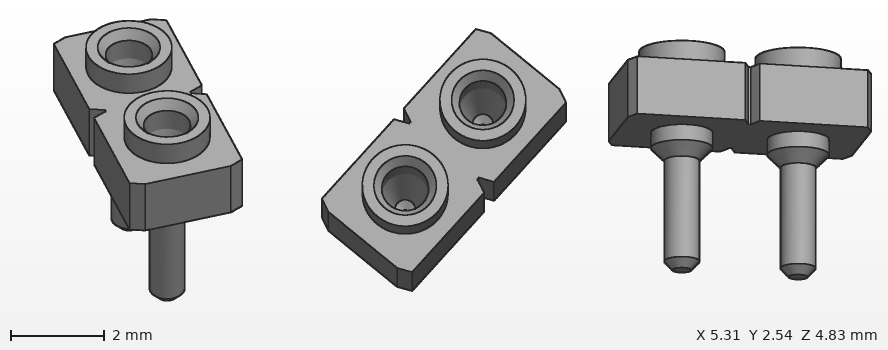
import cadquery as cq

housing_length = 5.31
housing_width = 2.54
housing_height = 1.27
corner_cut_x = 0.14
corner_cut_y = 0.305
notch_mouth = 0.32
notch_floor = 0.055
notch_depth = 0.31

pin_pitch = 2.54
collar_diameter = 1.83
collar_height = 0.52
body_diameter = 1.32
shank_diameter = 0.76
tip_diameter = 0.41
pin_drop = 3.04
shoulder_length = 0.34
tip_length = 0.19

mouth_diameter = 1.335
mouth_depth = 0.205
bore_diameter = 1.0
bore_depth = 0.7
funnel_end_diameter = 0.435
funnel_length = 0.905
bottom_diameter = 0.065
bottom_cone_length = 0.105

pin_positions = [-pin_pitch / 2, pin_pitch / 2]


def make_housing():
    """Block with cut corners, a V notch in each long side and a hole per pin."""
    half_length = housing_length / 2
    half_width = housing_width / 2
    front_side = [
        (-half_length, -half_width + corner_cut_y),
        (-half_length + corner_cut_x, -half_width),
        (-notch_mouth / 2, -half_width),
        (-notch_floor / 2, -half_width + notch_depth),
        (notch_floor / 2, -half_width + notch_depth),
        (notch_mouth / 2, -half_width),
        (half_length - corner_cut_x, -half_width),
        (half_length, -half_width + corner_cut_y),
    ]
    back_side = [(-x, -y) for x, y in front_side]
    block = cq.Workplane("XY").polyline(front_side + back_side).close().extrude(housing_height)
    holes = (
        cq.Workplane("XY")
        .pushPoints([(x, 0) for x in pin_positions])
        .circle(body_diameter / 2)
        .extrude(housing_height)
    )
    return block.cut(holes)


def make_pin(x):
    """Turned pin with a collar on the housing, a tapered shoulder and a stepped bore."""
    top = housing_height + collar_height
    taper_length = (body_diameter - shank_diameter) / 2
    funnel_end = top - bore_depth - funnel_length
    profile = [
        (0, -pin_drop),
        (tip_diameter / 2, -pin_drop),
        (shank_diameter / 2, -pin_drop + tip_length),
        (shank_diameter / 2, -shoulder_length - taper_length),
        (body_diameter / 2, -shoulder_length),
        (body_diameter / 2, housing_height),
        (collar_diameter / 2, housing_height),
        (collar_diameter / 2, top),
        (mouth_diameter / 2, top),
        (bore_diameter / 2, top - mouth_depth),
        (bore_diameter / 2, top - bore_depth),
        (funnel_end_diameter / 2, funnel_end),
        (bottom_diameter / 2, funnel_end - bottom_cone_length),
        (0, funnel_end - bottom_cone_length),
    ]
    pin = cq.Workplane("XZ").polyline(profile).close().revolve(360, (0, 0, 0), (0, 1, 0))
    return pin.translate((x, 0, 0))


housing = make_housing()
pins = [make_pin(x) for x in pin_positions]

result = cq.Compound.makeCompound([housing.val(), *[pin.val() for pin in pins]])